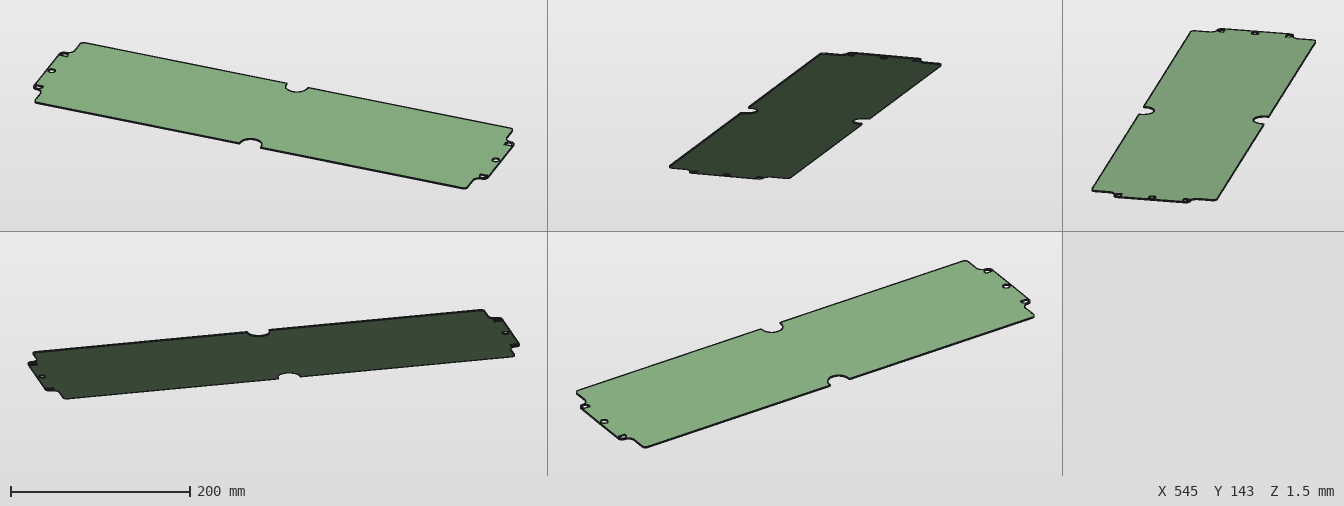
import cadquery as cq

length = 545.0
width = 143.0
thickness = 1.5

tab_reach = 13.0
tab_width = 86.5
body_length = length - 2 * tab_reach
body_corner_radius = 4.5
tab_corner_radius = 5.0
tab_root_radius = 7.5

notch_radius = 12.5
notch_depth = 14.5

hole_diameter = 8.0
hole_edge_distance = 6.0
hole_x = length / 2 - hole_edge_distance
arch_flat_y = 35.5
arch_side_height = 2.5


def plate():
    """Flat plate with end tabs, blended where they meet the body."""
    body = cq.Workplane("XY").box(body_length, width, thickness)
    tabs = cq.Workplane("XY").box(length, tab_width, thickness)
    blank = body.union(tabs)
    groups = (
        (body_length / 2, width / 2, body_corner_radius),
        (length / 2, tab_width / 2, tab_corner_radius),
        (body_length / 2, tab_width / 2, tab_root_radius),
    )
    reach = 0.5
    for x, y, radius in groups:
        for side_x in (-1, 1):
            for side_y in (-1, 1):
                corner = cq.selectors.BoxSelector(
                    (side_x * x - reach, side_y * y - reach, -thickness),
                    (side_x * x + reach, side_y * y + reach, thickness),
                )
                blank = blank.edges("|Z").edges(corner).fillet(radius)
    return blank


def notch(side):
    """Cutter for the notch in the long edge on the given Y side."""
    edge_y = side * width / 2
    arc_y = side * (width / 2 - notch_depth + notch_radius)
    bottom_y = side * (width / 2 - notch_depth)
    return (
        cq.Workplane("XY")
        .moveTo(-notch_radius, edge_y)
        .lineTo(-notch_radius, arc_y)
        .threePointArc((0, bottom_y), (notch_radius, arc_y))
        .lineTo(notch_radius, edge_y)
        .close()
        .extrude(thickness, both=True)
    )


def arched_opening(x, side):
    """Cutter with a flat inner end and a half-round outer end."""
    radius = hole_diameter / 2
    flat_y = side * arch_flat_y
    arc_y = side * (arch_flat_y + arch_side_height)
    crown_y = side * (arch_flat_y + arch_side_height + radius)
    return (
        cq.Workplane("XY")
        .moveTo(x - radius, flat_y)
        .lineTo(x - radius, arc_y)
        .threePointArc((x, crown_y), (x + radius, arc_y))
        .lineTo(x + radius, flat_y)
        .close()
        .extrude(thickness, both=True)
    )


def round_holes():
    """Cutters for the hole at the middle of each tab."""
    return (
        cq.Workplane("XY")
        .pushPoints([(-hole_x, 0), (hole_x, 0)])
        .circle(hole_diameter / 2)
        .extrude(thickness, both=True)
    )


result = plate().cut(round_holes())
for side in (-1, 1):
    result = result.cut(notch(side))
    for x in (-hole_x, hole_x):
        result = result.cut(arched_opening(x, side))